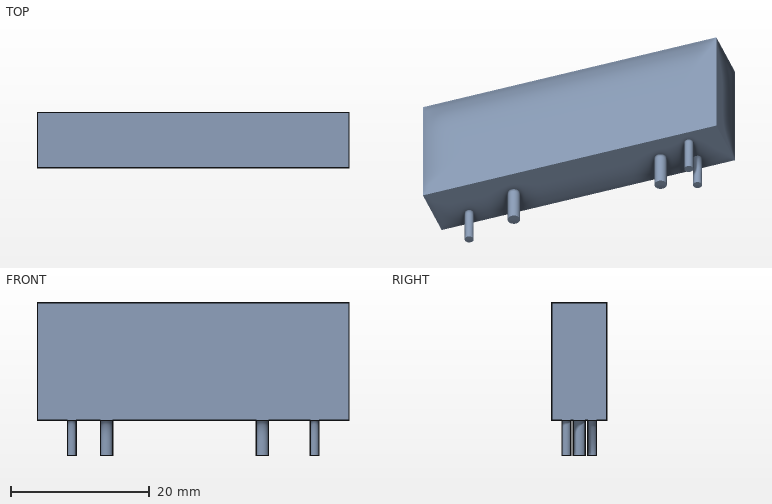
import cadquery as cq

HOUSING_LENGTH = 45.0
HOUSING_WIDTH = 8.0
HOUSING_HEIGHT = 17.0

PIN_LENGTH = 5.1
THIN_PIN_DIAMETER = 1.3
THICK_PIN_DIAMETER = 1.8

LEFT_END = -HOUSING_LENGTH / 2
LEFT_THIN_X = LEFT_END + 5.0
LEFT_THICK_X = LEFT_END + 10.0
THICK_PIN_PITCH = 22.5
RIGHT_THICK_X = LEFT_THICK_X + THICK_PIN_PITCH
RIGHT_THIN_X = LEFT_END + 40.0
THIN_PIN_ROW_SPACING = 3.75
FRONT_ROW_Y = -THIN_PIN_ROW_SPACING / 2
REAR_ROW_Y = THIN_PIN_ROW_SPACING / 2

THIN_PIN_PLACES = [
    (LEFT_THIN_X, FRONT_ROW_Y),
    (LEFT_THIN_X, REAR_ROW_Y),
    (RIGHT_THIN_X, FRONT_ROW_Y),
]
THICK_PIN_PLACES = [
    (LEFT_THICK_X, 0),
    (RIGHT_THICK_X, 0),
]


def make_housing():
    """Plain rectangular block with its underside at Z = 0."""
    return cq.Workplane("XY").box(
        HOUSING_LENGTH, HOUSING_WIDTH, HOUSING_HEIGHT, centered=(True, True, False)
    )


def make_pin(place, diameter):
    """Round pin hanging from the underside of the housing."""
    return cq.Workplane("XY").center(*place).circle(diameter / 2).extrude(-PIN_LENGTH)


housing = make_housing()
thin_pins = [make_pin(place, THIN_PIN_DIAMETER) for place in THIN_PIN_PLACES]
thick_pins = [make_pin(place, THICK_PIN_DIAMETER) for place in THICK_PIN_PLACES]

result = cq.Compound.makeCompound(
    [housing.val(), *[pin.val() for pin in thin_pins + thick_pins]]
)